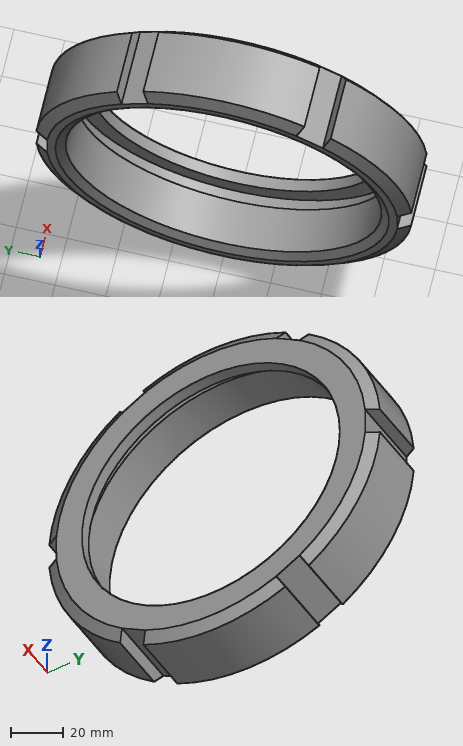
import cadquery as cq

outer_diameter = 148.0
width = 31.0
half_width = width / 2

rim_chamfer_depth = 4.9
rim_chamfer_length = 2.8

bore_diameter = 115.0
recess_diameter = 124.3
mouth_diameter = 131.3
mouth_length = 2.4
lip_width = 5.0

relief_diameter = 130.4
relief_width = 5.5

notch_count = 6
notch_width = 12.0
notch_floor_radius = 68.8


def make_ring():
    """Revolve the stepped half section about the X axis."""
    outer_radius = outer_diameter / 2
    face_radius = outer_radius - rim_chamfer_depth
    lip_x = half_width - lip_width
    section = [
        (-half_width, mouth_diameter / 2),
        (-half_width, face_radius),
        (-half_width + rim_chamfer_length, outer_radius),
        (half_width - rim_chamfer_length, outer_radius),
        (half_width, face_radius),
        (half_width, bore_diameter / 2),
        (lip_x, bore_diameter / 2),
        (lip_x, relief_diameter / 2),
        (lip_x - relief_width, relief_diameter / 2),
        (lip_x - relief_width, recess_diameter / 2),
        (-half_width + mouth_length, recess_diameter / 2),
    ]
    return cq.Workplane("XY").polyline(section).close().revolve(360, (0, 0, 0), (1, 0, 0))


def cut_notches(ring):
    """Cut flat-floored notches across the full width, starting on the Y axis."""
    notch_height = outer_diameter / 2
    cutter = cq.Workplane("XY").box(width, notch_height, notch_width)
    cutter = cutter.translate((0, notch_floor_radius + notch_height / 2, 0))
    for index in range(notch_count):
        angle = index * 360 / notch_count
        ring = ring.cut(cutter.rotate((0, 0, 0), (1, 0, 0), angle))
    return ring


result = cut_notches(make_ring())